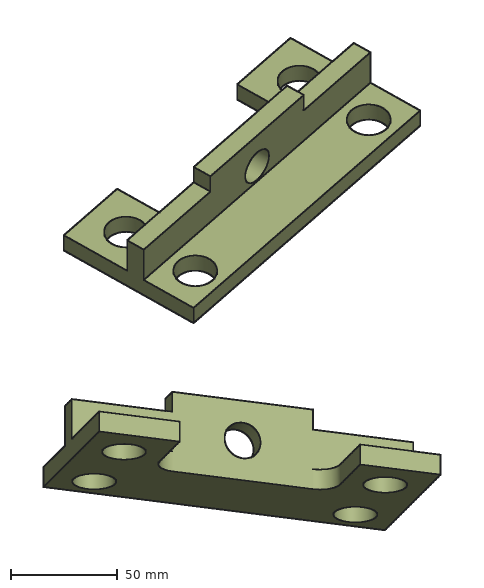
import cadquery as cq

width = 78.0
length = 170.0
height = 40.0

thickness = 10.0
notch_depth = 38.0
wall_left = notch_depth - width / 2
wall_center = wall_left + thickness / 2
shoulder_height = 30.0
raised_length = 70.0

notch_length = 90.0
notch_radius = thickness

mount_diameter = 20.5
mount_spacing_x = 41.6
mount_spacing_y = 130.0
mount_center_x = 3.2
bore_diameter = 17.8
bore_height = height / 2


def make_base():
    plate = cq.Workplane("XY").box(width, length, thickness, centered=(True, True, False))
    notch = (
        cq.Workplane("XY")
        .box(notch_depth, notch_length, thickness, centered=(False, True, False))
        .edges("|Z and >X")
        .fillet(notch_radius)
        .translate((-width / 2, 0, 0))
    )
    mount_holes = (
        cq.Workplane("XY")
        .center(mount_center_x, 0)
        .rarray(mount_spacing_x, mount_spacing_y, 2, 2)
        .circle(mount_diameter / 2)
        .extrude(thickness)
    )
    return plate.cut(notch).cut(mount_holes)


def make_wall():
    def upright(wall_length, wall_height):
        block = cq.Workplane("XY").box(thickness, wall_length, wall_height, centered=(True, True, False))
        return block.translate((wall_center, 0, 0))

    bore = (
        cq.Workplane("YZ", origin=(wall_left, 0, bore_height))
        .circle(bore_diameter / 2)
        .extrude(thickness)
    )
    return upright(length, shoulder_height).union(upright(raised_length, height)).cut(bore)


result = make_base().union(make_wall())